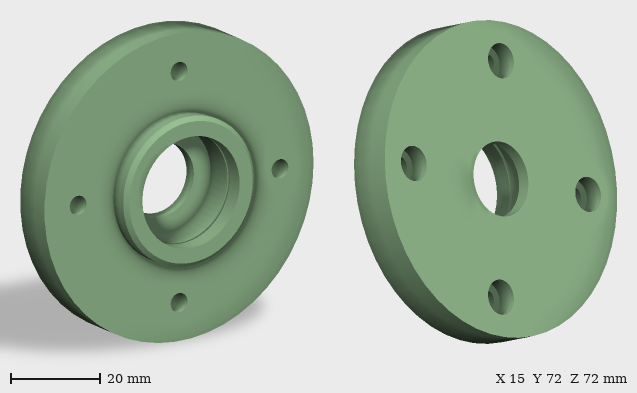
import cadquery as cq

flange_diameter = 72.0
flange_thickness = 10.0
boss_diameter = 35.0
total_length = 15.0
boss_chamfer = 1.0

shaft_bore_diameter = 17.0
shaft_bore_depth = 3.0
seat_diameter = 26.0
groove_start = 10.0
groove_width = 0.8
groove_diameter = 28.0

bolt_count = 4
bolt_circle_diameter = 54.0
bolt_hole_diameter = 4.5
counterbore_diameter = 8.0
counterbore_depth = 4.6


def cylinder(diameter, start, end):
    """Solid cylinder about the X axis between two X positions."""
    return cq.Workplane("YZ", origin=(start, 0, 0)).circle(diameter / 2).extrude(end - start)


def bolt_pattern(diameter, depth):
    """Cylinders on the bolt circle, running from the back face into the flange."""
    return (
        cq.Workplane("YZ")
        .polarArray(bolt_circle_diameter / 2, 0, 360, bolt_count)
        .circle(diameter / 2)
        .extrude(depth)
    )


flange = cylinder(flange_diameter, 0, flange_thickness)
boss = cylinder(boss_diameter, 0, total_length).faces(">X").edges().chamfer(boss_chamfer)
body = flange.union(boss)

body = body.cut(cylinder(shaft_bore_diameter, 0, shaft_bore_depth))
body = body.cut(cylinder(seat_diameter, shaft_bore_depth, total_length))
body = body.cut(cylinder(groove_diameter, groove_start, groove_start + groove_width))

body = body.cut(bolt_pattern(bolt_hole_diameter, flange_thickness))
result = body.cut(bolt_pattern(counterbore_diameter, counterbore_depth))